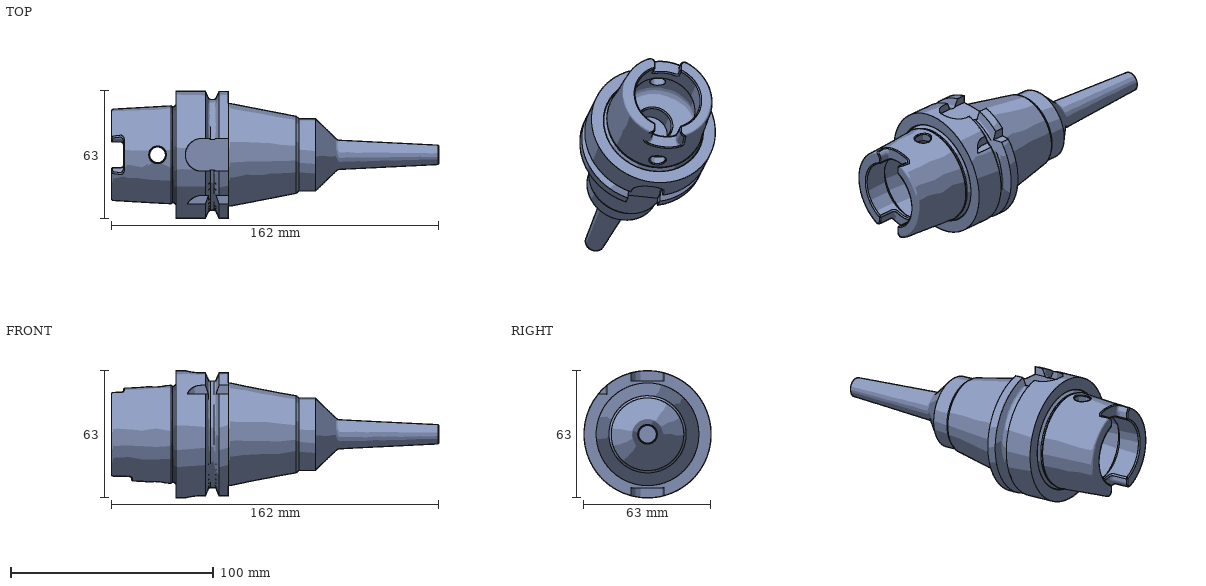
import cadquery as cq
import math

total_length = 162.0
shank_taper_end = 29.5
flange_face = 31.9
flange_end = 57.8
collar_end = 58.8
body_cone_end = 91.4
nut_start = 92.8
nut_end = 101.0
nose_cone_end = 111.3
stem_start = 112.8

shank_mouth_radius = 22.7
shank_large_radius = 24.3
shank_mouth_fillet = 1.1
flange_radius = 63.0 / 2
collar_radius = 25.5
body_cone_end_radius = 19.1
nut_radius = 18.0
nose_cone_end_radius = 8.0
stem_start_radius = 7.3
stem_tip_radius = 4.9
stem_tip_chamfer = 0.5

relief_radius = 23.8
relief_ramp = 0.6
relief_floor_end = 31.0
face_relief_radius = 25.5
face_relief_depth = 0.3

groove_center = 49.9
groove_bottom_radius = 27.5
groove_top_half_width = 3.4
groove_flank_half_width = 2.0
groove_flank_radius = 28.4
groove_floor_half_width = 1.0

bore_radius = 16.5
bore_chamfer = 0.6
bore_lip_end = 12.2
undercut_radius = 20.1
undercut_start = 15.4
cavity_depth = 30.0
cavity_fillet = 4.5
coolant_hole_radius = 8.7
coolant_hole_chamfer = 0.6
coolant_hole_depth = 9.7

end_slot_width = 12.6
end_slot_depth_top = 6.0
end_slot_depth_bottom = 10.0
end_slot_floor_fillet = 1.5
end_slot_edge_chamfer = 0.5
end_slot_shelf = 20.9
end_slot_rounding = 2.9

cross_hole_x = 22.8
cross_hole_radius = 3.9
cross_hole_chamfer = 0.5

flange_slot_width = 16.2
flange_slot_center = 44.7
flange_slot_floor = 53.0 / 2
corner_notch_wall = 20.1
corner_notch_floor = 20.0

pick_margin = 0.8

rounded_45 = math.sin(math.radians(45))


def turned_body():
    """Outside of the holder, revolved about X."""
    corner = shank_mouth_fillet * (1 - rounded_45)
    profile = (
        cq.Workplane("XY")
        .lineTo(0, shank_mouth_radius - shank_mouth_fillet)
        .threePointArc((corner, shank_mouth_radius - corner), (shank_mouth_fillet, shank_mouth_radius))
        .lineTo(shank_taper_end, shank_large_radius)
        .lineTo(shank_taper_end + relief_ramp, relief_radius)
        .lineTo(relief_floor_end, relief_radius)
        .lineTo(flange_face + face_relief_depth, face_relief_radius - face_relief_depth)
        .lineTo(flange_face, face_relief_radius)
        .lineTo(flange_face, flange_radius)
        .lineTo(groove_center - groove_top_half_width, flange_radius)
        .lineTo(groove_center - groove_flank_half_width, groove_flank_radius)
        .tangentArcPoint((groove_center - groove_floor_half_width, groove_bottom_radius), relative=False)
        .lineTo(groove_center + groove_floor_half_width, groove_bottom_radius)
        .tangentArcPoint((groove_center + groove_flank_half_width, groove_flank_radius), relative=False)
        .lineTo(groove_center + groove_top_half_width, flange_radius)
        .lineTo(flange_end, flange_radius)
        .lineTo(flange_end, collar_radius)
        .lineTo(collar_end, collar_radius)
        .lineTo(body_cone_end, body_cone_end_radius)
        .lineTo(nut_start, nut_radius)
        .lineTo(nut_end, nut_radius)
        .lineTo(nose_cone_end, nose_cone_end_radius)
        .tangentArcPoint((stem_start, stem_start_radius), relative=False)
        .lineTo(total_length - stem_tip_chamfer, stem_tip_radius)
        .lineTo(total_length, stem_tip_radius - stem_tip_chamfer)
        .lineTo(total_length, 0)
        .close()
    )
    return profile.revolve(360, (0, 0, 0), (1, 0, 0))


def shank_cavity():
    """Stepped hollow with a clamping undercut and a central coolant hole."""
    corner = cavity_fillet * (1 - rounded_45)
    coolant_hole_end = cavity_depth + coolant_hole_depth
    profile = (
        cq.Workplane("XY")
        .lineTo(0, bore_radius)
        .lineTo(bore_lip_end, bore_radius)
        .lineTo(undercut_start, undercut_radius)
        .lineTo(cavity_depth - cavity_fillet, undercut_radius)
        .threePointArc(
            (cavity_depth - corner, undercut_radius - corner),
            (cavity_depth, undercut_radius - cavity_fillet),
        )
        .lineTo(cavity_depth, coolant_hole_radius + coolant_hole_chamfer)
        .lineTo(cavity_depth + coolant_hole_chamfer, coolant_hole_radius)
        .lineTo(coolant_hole_end, coolant_hole_radius)
        .lineTo(coolant_hole_end, 0)
        .close()
    )
    return profile.revolve(360, (0, 0, 0), (1, 0, 0))


def end_slot(depth):
    """Cutter for one drive slot on the +Z side: straight walls that round over to a flat shelf."""
    half_width = end_slot_width / 2
    shelf_edge = half_width + end_slot_rounding
    wall_top = end_slot_shelf - end_slot_rounding
    corner = end_slot_rounding * (1 - rounded_45)
    arc_y = half_width + corner
    arc_z = end_slot_shelf - corner
    outer = flange_radius
    profile = (
        cq.Workplane("YZ")
        .moveTo(-half_width, 0)
        .lineTo(half_width, 0)
        .lineTo(half_width, wall_top)
        .threePointArc((arc_y, arc_z), (shelf_edge, end_slot_shelf))
        .lineTo(outer, end_slot_shelf)
        .lineTo(outer, outer)
        .lineTo(-outer, outer)
        .lineTo(-outer, end_slot_shelf)
        .lineTo(-shelf_edge, end_slot_shelf)
        .threePointArc((-arc_y, arc_z), (-half_width, wall_top))
        .close()
    )
    walls = cq.selectors.BoxSelector(
        (depth - pick_margin, -shelf_edge, pick_margin),
        (depth + pick_margin, shelf_edge, end_slot_shelf - pick_margin),
    )
    floor_edges = profile.extrude(depth).faces(">X").edges(walls)
    return floor_edges.fillet(end_slot_floor_fillet)


def flange_slot(center_y, floor):
    """Cutter for a slot milled along Z: round inner end, open toward +X."""
    height = flange_radius
    run = flange_end - flange_slot_center
    base = cq.Workplane("XY", origin=(flange_slot_center, center_y, floor))
    round_end = base.circle(flange_slot_width / 2).extrude(height)
    straight = base.center(run / 2, 0).rect(run, flange_slot_width).extrude(height)
    return round_end.union(straight)


def cross_hole():
    """Radial hole through both walls of the shank."""
    return (
        cq.Workplane("XY", origin=(cross_hole_x, 0, 0))
        .circle(cross_hole_radius)
        .extrude(flange_radius, both=True)
    )


def box_around(point):
    """Selector for whatever is centered within a small cube round a point."""
    low = [value - pick_margin for value in point]
    high = [value + pick_margin for value in point]
    return cq.selectors.BoxSelector(low, high)


def break_bore_edge(body):
    """Chamfer the rim of the bore all the way round, down into the drive slots and back."""
    reach = flange_radius
    near_rim = cq.selectors.BoxSelector((-reach, -reach, -reach), (bore_lip_end - pick_margin, reach, reach))
    bore_seam = box_around((bore_lip_end / 2, bore_radius, 0))
    bore_wall = body.faces(cq.selectors.NearestToPointSelector((bore_lip_end / 2, 0, 0)))
    return bore_wall.edges(near_rim - bore_seam).chamfer(bore_chamfer)


def break_cross_hole_edges(body):
    """Chamfer the cross hole where it leaves the outside of the shank."""
    slope = (shank_large_radius - shank_mouth_radius) / (shank_taper_end - shank_mouth_fillet)
    shank_radius = shank_mouth_radius + slope * (cross_hole_x - shank_mouth_fillet)
    top = box_around((cross_hole_x, 0, shank_radius))
    bottom = box_around((cross_hole_x, 0, -shank_radius))
    return body.edges(top + bottom).chamfer(cross_hole_chamfer)


result = turned_body().cut(shank_cavity())
result = result.cut(end_slot(end_slot_depth_top))
result = result.cut(end_slot(end_slot_depth_bottom).mirror("XY"))
result = result.faces("<X").edges("|Z").chamfer(end_slot_edge_chamfer)
result = break_bore_edge(result)
result = break_cross_hole_edges(result.cut(cross_hole()))

top_flange_slot = flange_slot(0, flange_slot_floor)
result = result.cut(top_flange_slot)
result = result.cut(top_flange_slot.mirror("XY"))
corner_notch_center = -(corner_notch_wall + flange_slot_width / 2)
result = result.cut(flange_slot(corner_notch_center, corner_notch_floor))